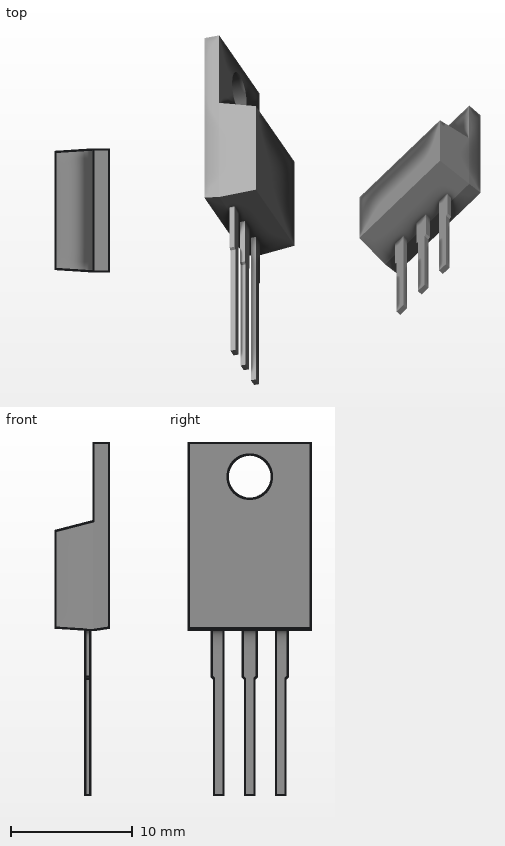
import cadquery as cq

total_height = 28.88
width = 10.02
total_depth = 4.42

tab_thickness = 1.3
block_depth = total_depth - tab_thickness
bottom_z = 13.52
bottom_rise = 0.2
block_top_z = 22.47
block_top_drop = 0.8
side_draft = 0.2

hole_diameter = 3.6
hole_to_top = 2.77

lead_pitch = 2.55
lead_thickness = 0.43
lead_center_x = -0.45
lead_width = 0.8
shoulder_width = 0.17
shoulder_z = 9.7
socket_depth = 1.15

lead_top_z = bottom_z + socket_depth
taper_end_z = shoulder_z - shoulder_width


def make_lead(position):
    """Lead at position -1, 0 or 1; outer leads widen only on their outer side."""
    half_width = lead_width / 2
    shoulder_y = half_width + shoulder_width
    plain_side = [(half_width, 0), (half_width, lead_top_z)]
    shouldered_side = [
        (half_width, 0),
        (half_width, taper_end_z),
        (shoulder_y, shoulder_z),
        (shoulder_y, lead_top_z),
    ]
    right_side = shouldered_side if position >= 0 else plain_side
    left_side = shouldered_side if position <= 0 else plain_side
    mirrored_left = [(-y, z) for y, z in reversed(left_side)]
    return (
        cq.Workplane("YZ", origin=(lead_center_x, position * lead_pitch, 0))
        .polyline(right_side + mirrored_left)
        .close()
        .extrude(lead_thickness / 2, both=True)
    )


def make_housing(leads):
    """Tab and block in one piece, with the mounting hole and a socket for each lead."""
    side_profile = (
        cq.Workplane("XZ")
        .polyline([
            (0, bottom_z),
            (tab_thickness, bottom_z + bottom_rise),
            (tab_thickness, total_height),
            (0, total_height),
            (0, block_top_z),
            (-block_depth, block_top_z - block_top_drop),
            (-block_depth, bottom_z + bottom_rise),
        ])
        .close()
        .extrude(width / 2, both=True)
    )
    front_half_width = width / 2 - side_draft
    drafted_plan = (
        cq.Workplane("XY")
        .polyline([
            (tab_thickness, -width / 2),
            (tab_thickness, width / 2),
            (0, width / 2),
            (-block_depth, front_half_width),
            (-block_depth, -front_half_width),
            (0, -width / 2),
        ])
        .close()
        .extrude(total_height)
    )
    hole = (
        cq.Workplane("YZ")
        .center(0, total_height - hole_to_top)
        .circle(hole_diameter / 2)
        .extrude(tab_thickness)
    )
    housing = side_profile.intersect(drafted_plan).cut(hole)
    for lead in leads:
        housing = housing.cut(lead)
    return housing


leads = [make_lead(position) for position in (-1, 0, 1)]
housing = make_housing(leads)

result = cq.Compound.makeCompound([housing.val(), *[lead.val() for lead in leads]])